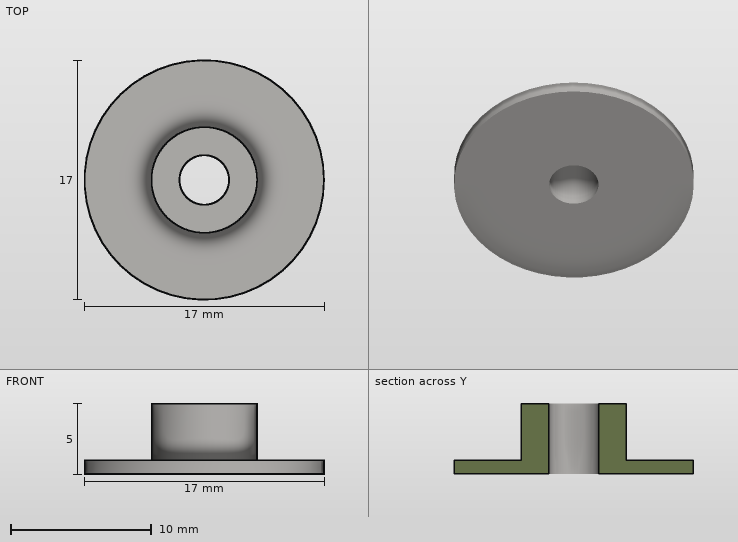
import cadquery as cq

flange_diameter = 17.0
flange_thickness = 1.0
total_height = 5.0
boss_diameter = 7.5
bore_diameter = 3.5

boss_height = total_height - flange_thickness

flange = cq.Workplane("XY").circle(flange_diameter / 2).extrude(flange_thickness)

bushing = flange.faces(">Z").workplane().circle(boss_diameter / 2).extrude(boss_height)

result = bushing.faces(">Z").workplane().hole(bore_diameter)